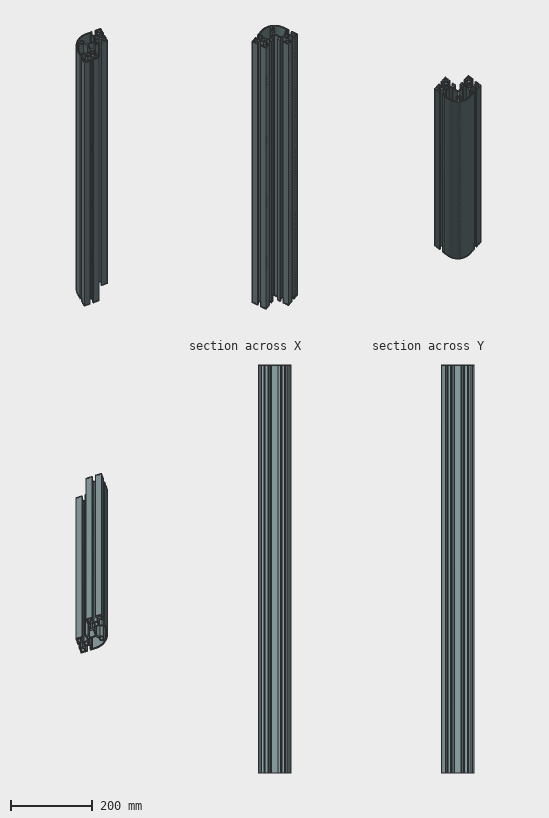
import cadquery as cq
import math

LENGTH = 1000.0
SIDE = 80.0
ARM_WIDTH = 40.0
CORNER_RADIUS = 40.0
ARM_END_START = 48.0
WALL = 2.4
ELBOW_OUTER = 32.0
ELBOW_INNER = ELBOW_OUTER - WALL

CORE_X = ARM_WIDTH / 2
CORE_Y = SIDE - ARM_WIDTH / 2

SLOT_OPENING = 8.4
LIP = 3.5
SLOT_DEPTH = 14.0
POCKET_WIDTH = 15.0
POCKET_STRAIGHT = 4.4
FLOOR_WIDTH = 8.5

CORE_BORE = 8.0
CORNER_BORE = 8.6
CORNER_BORE_INSET = 6.6
BOSS_DIAMETER = 12.0
RIB = 4.0
RIB_LENGTH = ARM_WIDTH

CHAMBER_END = ARM_END_START + WALL
CHAMBER_CROWN = 54.0
CROWN_HALF_WIDTH = 6.0


def prism(points):
    """Full-length prism over a closed polygon."""
    return cq.Workplane("XY").polyline(points).close().extrude(LENGTH)


def swapped(points):
    """Reflect points about the diagonal x = y."""
    return [(y, x) for x, y in points]


def bore(x, y, diameter):
    """Full-length round cutter."""
    return cq.Workplane("XY").center(x, y).circle(diameter / 2).extrude(LENGTH)


def corner_mid(radius):
    """Middle point of a quarter arc about the outer corner's centre."""
    offset = CORNER_RADIUS - radius * math.sqrt(0.5)
    return (offset, offset)


def outer_body():
    """Solid L-shaped body with the rounded outer corner."""
    return (
        cq.Workplane("XY")
        .moveTo(CORNER_RADIUS, 0)
        .lineTo(SIDE, 0)
        .lineTo(SIDE, ARM_WIDTH)
        .lineTo(ARM_END_START, ARM_WIDTH)
        .lineTo(ARM_END_START, ELBOW_OUTER)
        .lineTo(ELBOW_OUTER, ELBOW_OUTER)
        .lineTo(ELBOW_OUTER, ARM_END_START)
        .lineTo(ARM_WIDTH, ARM_END_START)
        .lineTo(ARM_WIDTH, SIDE)
        .lineTo(0, SIDE)
        .lineTo(0, CORNER_RADIUS)
        .threePointArc(corner_mid(CORNER_RADIUS), (CORNER_RADIUS, 0))
        .close()
        .extrude(LENGTH)
    )


def slot_points(direction):
    """T-slot outline of the upper block, opening along the given unit direction."""
    half = ARM_WIDTH / 2
    side_profile = [
        (half, SLOT_OPENING / 2),
        (half - LIP, SLOT_OPENING / 2),
        (half - LIP, POCKET_WIDTH / 2),
        (half - LIP - POCKET_STRAIGHT, POCKET_WIDTH / 2),
        (half - SLOT_DEPTH, FLOOR_WIDTH / 2),
    ]
    profile = side_profile + [(u, -v) for u, v in reversed(side_profile)]
    dx, dy = direction
    return [(CORE_X + u * dx - v * dy, CORE_Y + u * dy + v * dx) for u, v in profile]


def chamber():
    """Hollow behind the rounded corner, less the screw boss and its diagonal rib."""
    crown_start = CORE_X - CROWN_HALF_WIDTH
    crown_rise = CHAMBER_CROWN - CHAMBER_END
    end = [
        (WALL, CHAMBER_END),
        (crown_start - crown_rise, CHAMBER_END),
        (crown_start, CHAMBER_CROWN),
        (CORE_X + CROWN_HALF_WIDTH, CHAMBER_CROWN),
        (ELBOW_INNER, CHAMBER_END),
    ]
    outline = cq.Workplane("XY").moveTo(WALL, CORNER_RADIUS)
    for point in end + [(ELBOW_INNER, ELBOW_INNER)] + swapped(reversed(end)):
        outline = outline.lineTo(*point)
    hollow = (
        outline.lineTo(CORNER_RADIUS, WALL)
        .threePointArc(corner_mid(CORNER_RADIUS - WALL), (WALL, CORNER_RADIUS))
        .close()
        .extrude(LENGTH)
    )
    boss = bore(CORE_X, CORE_X, BOSS_DIAMETER)
    rib = (
        cq.Workplane("XY")
        .transformed(offset=(CORE_X, CORE_X, 0), rotate=(0, 0, 45))
        .rect(RIB_LENGTH, RIB)
        .extrude(LENGTH)
    )
    return hollow.cut(boss).cut(rib)


def block_bores():
    """Core bore and the two corner bores of the upper block."""
    inset = CORNER_BORE_INSET
    return [
        (CORE_X, CORE_Y, CORE_BORE),
        (inset, SIDE - inset, CORNER_BORE),
        (ARM_WIDTH - inset, SIDE - inset, CORNER_BORE),
    ]


result = outer_body().cut(chamber())

for slot_direction in [(0, 1), (-1, 0), (1, 0)]:
    slot = slot_points(slot_direction)
    result = result.cut(prism(slot)).cut(prism(swapped(slot)))

for bore_x, bore_y, diameter in block_bores():
    result = result.cut(bore(bore_x, bore_y, diameter)).cut(bore(bore_y, bore_x, diameter))

result = result.cut(bore(CORE_X, CORE_X, CORE_BORE))